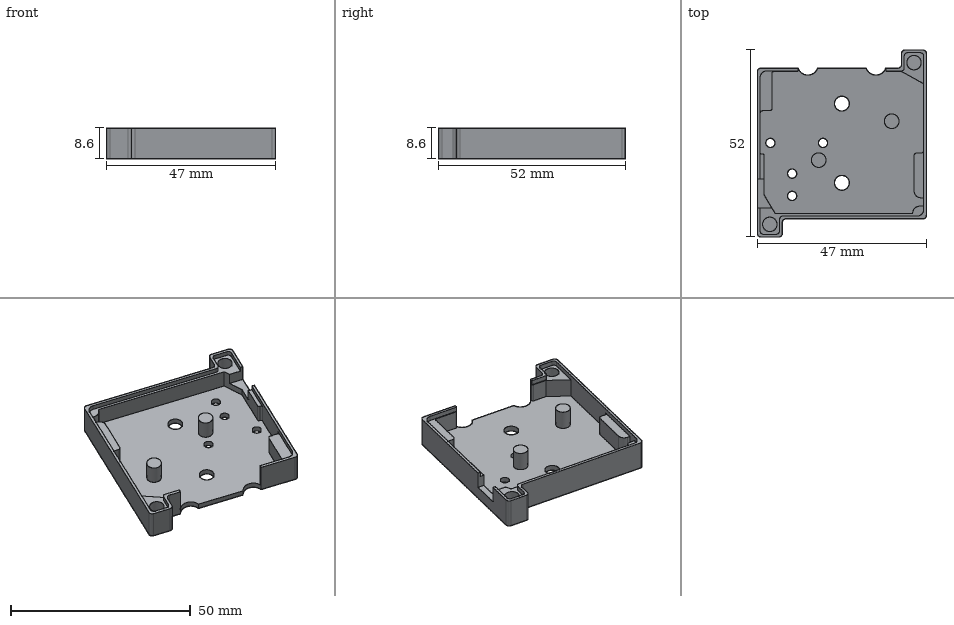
import cadquery as cq
import math

width = 47.0
length = 52.0
height = 8.6
tab_width = 6.95
tab_length = 5.05
outer_radius = 1.0

wall = 0.8
floor_top = 1.65
ledge_top = 7.2
sill_top = 3.7
body_front = tab_length
body_back = length - tab_length
center_x = width / 2
center_y = length / 2
inner_right = width - wall

recess_tab_radius = 0.95
recess_body_radius = 1.85

ledge_back = body_back - 1.0
ledge_front = 6.5
left_block_edge = 4.1
left_block_front = 35.1
left_rib_edge = 1.85
left_rib_back = 23.1
front_gusset_x = 5.0
front_gusset_y = 11.75
back_gusset_x = 40.15
back_gusset_y = 42.6
right_rib_edge = 43.6
right_rib_front = 10.9
right_rib_back = 23.35
right_rib_nose_radius = 1.85
corner_pad_x = 43.05
corner_pad_lean = 0.6
corner_pad_back = 8.6
corner_pad_radius = 1.85
small_radius = 0.75
tiny_radius = 0.35

back_opening_half = 12.2
opening_left = center_x - back_opening_half
opening_right = center_x + back_opening_half
beyond_back = body_back + 0.5
window_front = 8.05
window_back = 16.05
window_depth = 5.2

notch_radius = 2.85
notch_offset = 9.45
notch_y = 47.9

large_diameter = 4.05
large_hole_points = [(center_x, 15.1), (center_x, 37.1)]
small_diameter = 2.5
small_hole_points = [(3.65, 26.15), (18.25, 26.15), (9.65, 17.65), (9.65, 11.45)]
post_points = [(17.05, 21.35), (37.35, 32.2)]
tab_hole_diameter = 4.0
tab_hole_x = 3.5
tab_hole_y = 3.55
tab_hole_points = [(tab_hole_x, tab_hole_y), (width - tab_hole_x, length - tab_hole_y)]


def rounded_prism(corners, bottom, top):
    """Extrude a polygon of (x, y, radius) corners; a radius of zero stays sharp."""
    path = None
    for i, (x, y, radius) in enumerate(corners):
        corner = cq.Vector(x, y)
        to_before = (cq.Vector(*corners[i - 1][:2]) - corner).normalized()
        to_after = (cq.Vector(*corners[(i + 1) % len(corners)][:2]) - corner).normalized()
        half_angle = to_before.getAngle(to_after) / 2
        setback = radius / math.tan(half_angle)
        start = corner + to_before * setback
        if path is None:
            path = cq.Workplane("XY", origin=(0, 0, bottom)).moveTo(start.x, start.y)
        else:
            path = path.lineTo(start.x, start.y)
        if radius > 0:
            end = corner + to_after * setback
            bisector = (to_before + to_after).normalized()
            middle = corner + bisector * (radius / math.sin(half_angle) - radius)
            path = path.threePointArc((middle.x, middle.y), (end.x, end.y))
    return path.close().extrude(top - bottom)


def cylinders(points, diameter, bottom, top):
    base = cq.Workplane("XY", origin=(0, 0, bottom))
    return base.pushPoints(points).circle(diameter / 2).extrude(top - bottom)


def outer_block():
    half = [
        (0, 0, outer_radius),
        (tab_width, 0, outer_radius),
        (tab_width, body_front, outer_radius),
        (width, body_front, outer_radius),
    ]
    opposite_half = [(width - x, length - y, radius) for x, y, radius in half]
    return rounded_prism(half + opposite_half, 0, height)


def upper_recess():
    corners = [
        (wall, wall, recess_tab_radius),
        (tab_width - wall, wall, recess_tab_radius),
        (tab_width - wall, body_front + wall, recess_tab_radius),
        (inner_right, body_front + wall, recess_body_radius),
        (inner_right, length - wall, recess_tab_radius),
        (width - tab_width + wall, length - wall, recess_tab_radius),
        (width - tab_width + wall, body_back - wall, small_radius),
        (opening_right, body_back - wall, 0),
        (opening_right, beyond_back, 0),
        (opening_left, beyond_back, 0),
        (opening_left, body_back - wall, 0),
        (wall, body_back - wall, recess_body_radius),
    ]
    return rounded_prism(corners, ledge_top, height)


def lower_pocket():
    corners = [
        (front_gusset_x, ledge_front, 0),
        (corner_pad_x, ledge_front, tiny_radius),
        (corner_pad_x + corner_pad_lean, corner_pad_back, corner_pad_radius),
        (inner_right, corner_pad_back, 0),
        (inner_right, right_rib_front, 0),
        (right_rib_edge, right_rib_front, right_rib_nose_radius),
        (right_rib_edge, right_rib_back, small_radius),
        (inner_right, right_rib_back, small_radius),
        (inner_right, back_gusset_y, 0),
        (back_gusset_x, ledge_back, 0),
        (opening_right, ledge_back, tiny_radius),
        (opening_right, beyond_back, 0),
        (opening_left, beyond_back, 0),
        (opening_left, ledge_back, tiny_radius),
        (left_block_edge, ledge_back, tiny_radius),
        (left_block_edge, left_block_front, small_radius),
        (wall, left_block_front, small_radius),
        (wall, left_rib_back, tiny_radius),
        (left_rib_edge, left_rib_back, tiny_radius),
        (left_rib_edge, front_gusset_y, 0),
    ]
    return rounded_prism(corners, floor_top, ledge_top)


def side_window():
    return cq.Workplane("XY").box(
        window_depth, window_back - window_front, height - sill_top, centered=False
    ).translate((0, window_front, sill_top))


notch_points = [(center_x - notch_offset, notch_y), (center_x + notch_offset, notch_y)]

result = outer_block().cut(upper_recess()).cut(lower_pocket()).cut(side_window())
result = result.cut(cylinders(notch_points, 2 * notch_radius, 0, floor_top))
result = result.cut(cylinders(large_hole_points, large_diameter, 0, floor_top))
result = result.cut(cylinders(small_hole_points, small_diameter, 0, floor_top))
result = result.cut(cylinders(tab_hole_points, tab_hole_diameter, floor_top, ledge_top))
result = result.union(cylinders(post_points, large_diameter, 0, ledge_top))